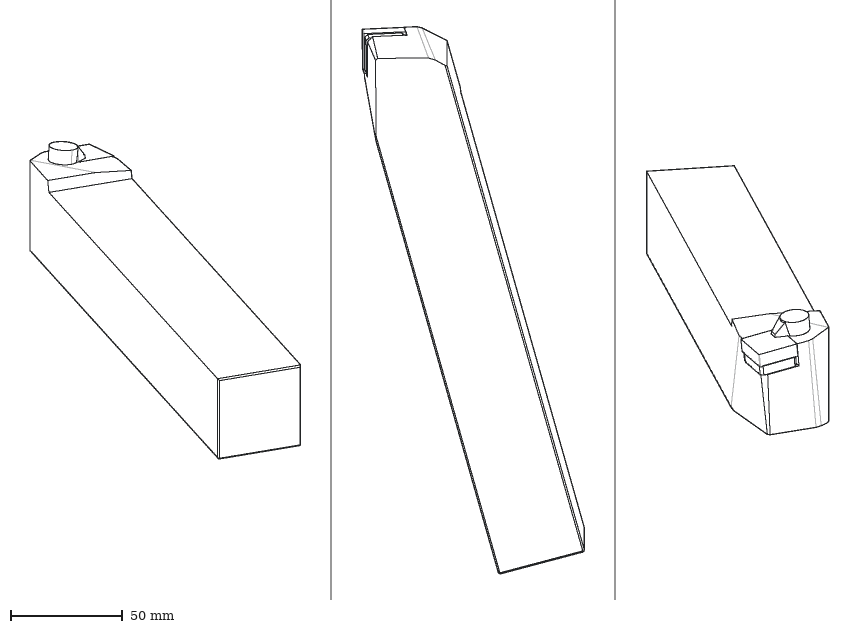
import cadquery as cq
import math

LENGTH = 249.8
WIDTH = 40.0
SHANK_HEIGHT = 40.0
HEAD_HEIGHT = 45.2
STEP_TOP_X = 38.7
STEP_BOTTOM_X = 40.2
EDGE_CHAMFER = 0.7
CUTTER_SIZE = 150.0

FOLD_X = 15.7
SEAT_TILT = math.radians(8.0)

APPROACH_ANGLE = math.radians(15.0)
TIP_Y = 35.0
INSERT_SIDE = 19.0
INSERT_THICKNESS = 6.2
NOSE_RADIUS = 0.2
SHIM_INSET = 0.5
SHIM_THICKNESS = 4.7
SHIM_CHAMFER = 1.2
POCKET_OVERRUN = 2.5

HEAD_WALLS = [
    (195.0, 4.2, (10.5, 7.0)),
    (105.0, 7.0, (5.5, 30.2)),
    (150.0, 6.0, (5.0, 29.7)),
    (212.0, 2.0, (10.5, 7.0)),
    (225.0, 0.0, (FOLD_X + 0.7, 0.0)),
]

CLAMP_X = 19.2
CLAMP_Y = 14.7
CLAMP_RADIUS = 6.5
CLAMP_HEIGHT = 6.7
CLAMP_ROOT = 2.0
LIP_LENGTH = 11.5
LIP_ROOT_HALF_WIDTH = 5.2
LIP_TIP_HALF_WIDTH = 2.2
LIP_TIP_HEIGHT = 0.7
LIP_SLOPE_LENGTH = 6.0
LIP_TAPER = 10.0


def seat_height(x, y):
    """Height of the sloping seat face at a place on the head."""
    fold_distance = (FOLD_X + y - x) / math.sqrt(2)
    return HEAD_HEIGHT - fold_distance * math.tan(SEAT_TILT)


def seat_plane(x, y, angle=APPROACH_ANGLE):
    """Plane on the seat face whose local X runs at the given angle."""
    fall = math.sin(SEAT_TILT) / math.sqrt(2)
    rise = math.cos(SEAT_TILT)
    dir_x = math.cos(angle)
    dir_y = math.sin(angle)
    dir_z = fall * (dir_x - dir_y) / rise
    return cq.Plane((x, y, seat_height(x, y)), (dir_x, dir_y, dir_z), (-fall, fall, rise))


def wall_cutter(direction, relief, point):
    """Block that removes everything outside one head wall."""
    heading = math.radians(direction)
    lean = math.radians(relief)
    normal = (
        math.cos(heading) * math.cos(lean),
        math.sin(heading) * math.cos(lean),
        -math.sin(lean),
    )
    along = (-math.sin(heading), math.cos(heading), 0)
    plane = cq.Plane((*point, 0), along, normal)
    return cq.Workplane(plane).rect(CUTTER_SIZE, CUTTER_SIZE).extrude(CUTTER_SIZE)


def make_blank():
    """Stepped bar with sloping seat face and relieved head walls."""
    blank = (
        cq.Workplane("XZ")
        .moveTo(0, 0)
        .lineTo(LENGTH, 0)
        .lineTo(LENGTH, SHANK_HEIGHT)
        .lineTo(STEP_BOTTOM_X, SHANK_HEIGHT)
        .lineTo(STEP_TOP_X, HEAD_HEIGHT)
        .lineTo(0, HEAD_HEIGHT)
        .close()
        .extrude(-WIDTH)
    )
    blank = blank.faces(">X").edges().chamfer(EDGE_CHAMFER)
    blank = blank.edges("|X and <Z").chamfer(EDGE_CHAMFER)
    above_seat = (
        cq.Workplane(seat_plane(FOLD_X, 0, math.radians(45)))
        .rect(CUTTER_SIZE, CUTTER_SIZE)
        .extrude(CUTTER_SIZE)
    )
    blank = blank.cut(above_seat)
    for direction, relief, point in HEAD_WALLS:
        blank = blank.cut(wall_cutter(direction, relief, point))
    return blank


def square_plate(inset, top, thickness):
    """Square plate parallel to the seat face, set in from the insert tip."""
    centre = INSERT_SIDE / 2
    side = INSERT_SIDE - 2 * inset
    return (
        cq.Workplane(seat_plane(0, TIP_Y))
        .workplane(offset=top)
        .center(centre, -centre)
        .rect(side, side)
        .extrude(-thickness)
    )


def make_pocket():
    """Corner pocket with two walls, open at the end and the +Y side."""
    return (
        cq.Workplane(seat_plane(0, TIP_Y))
        .moveTo(INSERT_SIDE, -INSERT_SIDE)
        .lineTo(INSERT_SIDE, POCKET_OVERRUN)
        .lineTo(-POCKET_OVERRUN, POCKET_OVERRUN)
        .lineTo(-POCKET_OVERRUN, -INSERT_SIDE)
        .close()
        .extrude(-INSERT_THICKNESS - SHIM_THICKNESS)
    )


def make_insert():
    plate = square_plate(0, 0, INSERT_THICKNESS)
    upright = cq.selectors.ParallelDirSelector(seat_plane(0, 0).zDir)
    return plate.edges(upright).fillet(NOSE_RADIUS)


def make_shim():
    shim = square_plate(SHIM_INSET, -INSERT_THICKNESS, SHIM_THICKNESS)
    upright = cq.selectors.ParallelDirSelector(seat_plane(0, 0).zDir)
    return shim.edges(upright).chamfer(SHIM_CHAMFER)


def make_clamp():
    """Round clamp head with a tapering lip that slopes down onto the insert."""
    base = cq.Workplane(seat_plane(CLAMP_X, CLAMP_Y)).workplane(offset=-CLAMP_ROOT)
    head = base.circle(CLAMP_RADIUS).extrude(CLAMP_ROOT + CLAMP_HEIGHT)
    lip = (
        base.moveTo(-CLAMP_RADIUS, 0)
        .lineTo(CLAMP_RADIUS, 0)
        .lineTo(LIP_ROOT_HALF_WIDTH, LIP_LENGTH - LIP_SLOPE_LENGTH)
        .lineTo(LIP_TIP_HALF_WIDTH, LIP_LENGTH)
        .lineTo(-LIP_TIP_HALF_WIDTH, LIP_LENGTH)
        .close()
        .extrude(CLAMP_ROOT + CLAMP_HEIGHT, taper=LIP_TAPER)
    )
    slope = (
        cq.Workplane(seat_plane(CLAMP_X, CLAMP_Y))
        .transformed(rotate=(0, 90, 0))
        .transformed(rotate=(0, 0, 90))
        .moveTo(LIP_LENGTH, LIP_TIP_HEIGHT)
        .lineTo(LIP_LENGTH - LIP_SLOPE_LENGTH, CLAMP_HEIGHT)
        .lineTo(LIP_LENGTH, CLAMP_HEIGHT)
        .close()
        .extrude(CLAMP_RADIUS, both=True)
    )
    return head.union(lip.cut(slope))


insert = make_insert()
holder = make_blank().cut(make_pocket()).union(make_shim()).union(make_clamp())
holder = holder.cut(insert)

result = cq.Compound.makeCompound([holder.val(), insert.val()])